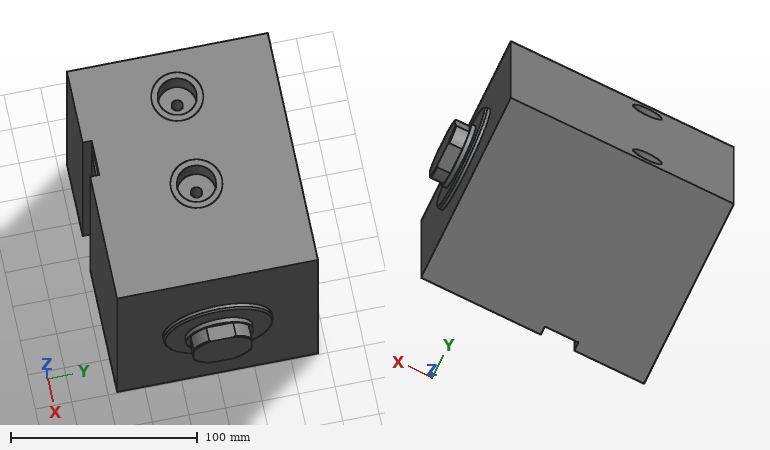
import cadquery as cq

TOTAL_LENGTH = 147.0
BLOCK_LENGTH = 133.0
BLOCK_DEPTH = 110.0
BLOCK_HEIGHT = 140.0

KEYWAY_WIDTH = 20.0
KEYWAY_DEPTH = 5.0
KEYWAY_CENTER_X = 51.6

MOUNT_HOLE_DIAMETER = 17.0
MOUNT_HOLE_SPACING = 110.0

PORT_CENTERS_X = (26.0, 77.0)
PORT_DIAMETER = 21.0
PORT_DEPTH = 13.2
SPOTFACE_DIAMETER = 28.0
SPOTFACE_DEPTH = 0.1
PASSAGE_DIAMETER = 6.0

GLAND_DIAMETER = 60.0
GLAND_THICKNESS = 3.1
GLAND_CHAMFER_LENGTH = 1.2
GLAND_CHAMFER_HEIGHT = 0.7

ROD_DIAMETER = 36.8
ROD_INNER_END_X = 15.0
SHAFT_PROJECTION = 5.7
ROD_END_DIAMETER = 35.0
ROD_END_ACROSS_FLATS = 31.8
ROD_END_CHAMFER = 0.6

SHAFT_END_X = BLOCK_LENGTH + SHAFT_PROJECTION
GLAND_END_X = BLOCK_LENGTH + GLAND_THICKNESS


def revolve_about_x(points):
    """Revolve a closed outline of (x, radius) points about the X axis."""
    return cq.Workplane("XZ").polyline(points).close().revolve(360, (0, 0, 0), (1, 0, 0))


def rod_cylinder(start_x, end_x):
    """Round bar on the X axis with the diameter of the rod."""
    radius = ROD_DIAMETER / 2
    return revolve_about_x([(start_x, 0), (start_x, radius), (end_x, radius), (end_x, 0)])


def vertical_hole(center_x, diameter, depth):
    """Cutter for a hole of the given depth, sunk from the top face on the block's middle plane."""
    return (
        cq.Workplane("XY", origin=(center_x, 0, BLOCK_HEIGHT / 2 - depth))
        .circle(diameter / 2)
        .extrude(depth)
    )


def make_block():
    block = cq.Workplane("XY").box(BLOCK_LENGTH, BLOCK_DEPTH, BLOCK_HEIGHT)
    block = block.translate((BLOCK_LENGTH / 2, 0, 0))

    keyway = cq.Workplane("XY").box(KEYWAY_WIDTH, KEYWAY_DEPTH, BLOCK_HEIGHT)
    block = block.cut(keyway.translate((KEYWAY_CENTER_X, (KEYWAY_DEPTH - BLOCK_DEPTH) / 2, 0)))

    mount_holes = (
        cq.Workplane("XZ", origin=(KEYWAY_CENTER_X, 0, 0))
        .rarray(1.5, MOUNT_HOLE_SPACING, 1, 2)
        .circle(MOUNT_HOLE_DIAMETER / 2)
        .extrude(BLOCK_DEPTH / 2, both=True)
    )
    block = block.cut(mount_holes)

    for center_x in PORT_CENTERS_X:
        block = block.cut(vertical_hole(center_x, SPOTFACE_DIAMETER, SPOTFACE_DEPTH))
        block = block.cut(vertical_hole(center_x, PORT_DIAMETER, PORT_DEPTH))
        block = block.cut(vertical_hole(center_x, PASSAGE_DIAMETER, BLOCK_HEIGHT / 2))

    return block.cut(rod_cylinder(ROD_INNER_END_X, BLOCK_LENGTH))


def make_gland():
    bore_radius = ROD_DIAMETER / 2
    outer_radius = GLAND_DIAMETER / 2
    return revolve_about_x([
        (BLOCK_LENGTH, bore_radius),
        (BLOCK_LENGTH, outer_radius),
        (GLAND_END_X - GLAND_CHAMFER_LENGTH, outer_radius),
        (GLAND_END_X, outer_radius - GLAND_CHAMFER_HEIGHT),
        (GLAND_END_X, bore_radius),
    ])


def make_rod():
    end_radius = ROD_END_DIAMETER / 2
    rod_end = revolve_about_x([
        (SHAFT_END_X, 0),
        (SHAFT_END_X, end_radius),
        (TOTAL_LENGTH - ROD_END_CHAMFER, end_radius),
        (TOTAL_LENGTH, end_radius - ROD_END_CHAMFER),
        (TOTAL_LENGTH, 0),
    ])
    square_bar = (
        cq.Workplane("YZ", origin=(SHAFT_END_X, 0, 0))
        .rect(ROD_END_ACROSS_FLATS, ROD_END_ACROSS_FLATS)
        .extrude(TOTAL_LENGTH - SHAFT_END_X)
    )
    return rod_cylinder(ROD_INNER_END_X, SHAFT_END_X).union(rod_end.intersect(square_bar))


block = make_block()
gland = make_gland()
rod = make_rod()

result = cq.Compound.makeCompound([block.val(), gland.val(), rod.val()])